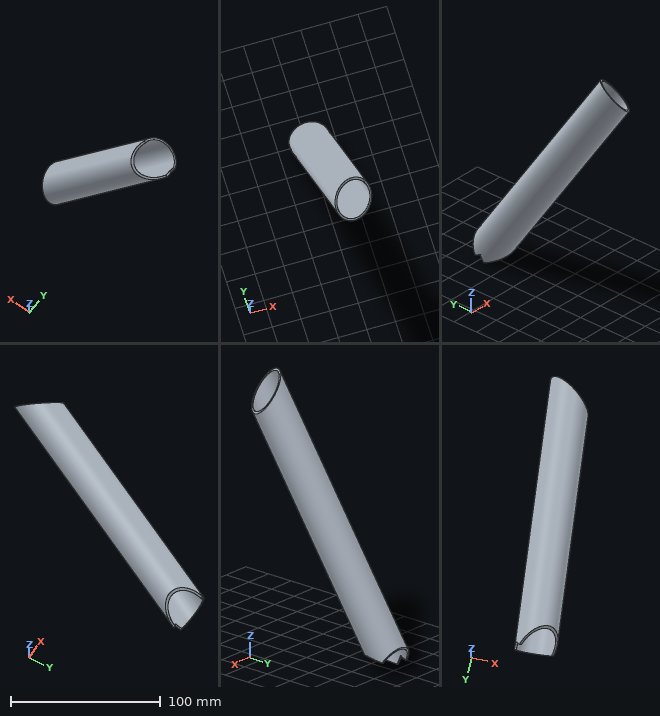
import cadquery as cq
import math

outer_radius = 14.1
wall = 1.5
inner_radius = outer_radius - wall

lean_x = -0.023
lean_y = -0.69

top_height = 202.3
top_slope_x = -0.86
top_slope_y = 0
front_height = 0.2
front_slope_x = 0.56
front_slope_y = -0.87
back_height = 0
back_slope_x = 0.04
back_slope_y = 0.53

notch_back = (0.5, -0.2)
notch_peak = (-2.0, 4.0)
notch_front = (-7.0, -0.4)
notch_reach = 4

overrun = 36.7
block_size = 367.5


def end_block(height, slope_x, slope_y, side):
    """Block on one side (+1 above, -1 below) of a sloped plane crossing the axis."""
    plane = cq.Plane(
        origin=(0, 0, height),
        xDir=(1, 0, slope_x),
        normal=(-slope_x, -slope_y, 1),
    )
    return cq.Workplane(plane).rect(block_size, block_size).extrude(side * block_size)


def prolonged(corner):
    """Point on the notch flank through corner, carried clear of the tube end."""
    return tuple(p + notch_reach * (c - p) for p, c in zip(notch_peak, corner))


def notch():
    """Triangular prism crossing the tube along local x."""
    outline = [prolonged(notch_back), notch_peak, prolonged(notch_front)]
    return cq.Workplane("YZ").polyline(outline).close().extrude(outer_radius + wall, both=True)


tube = (
    cq.Workplane("XY", origin=(0, 0, -overrun))
    .circle(outer_radius)
    .circle(inner_radius)
    .extrude(top_height + 2 * overrun)
)
tube = tube.cut(end_block(top_height, top_slope_x, top_slope_y, 1))
tube = tube.cut(end_block(front_height, front_slope_x, front_slope_y, -1))
tube = tube.cut(end_block(back_height, back_slope_x, back_slope_y, -1))
tube = tube.cut(notch())

tilt_about_x = math.degrees(math.atan2(-lean_y, 1))
tilt_about_y = math.degrees(math.atan2(lean_x, math.hypot(1, lean_y)))
result = (
    tube
    .rotate((0, 0, 0), (0, 1, 0), tilt_about_y)
    .rotate((0, 0, 0), (1, 0, 0), tilt_about_x)
)